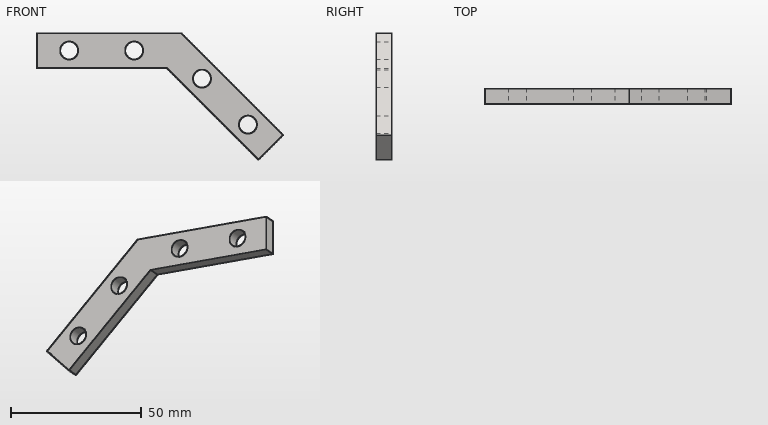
import cadquery as cq
import math

overall_length = 94.7
thickness = 6.0
arm_width = 13.5
bend_angle = 45.0
hole_diameter = 6.8
hole_end_distance = 12.4
hole_spacing = 25.0

bend = math.radians(bend_angle)
arm_length = overall_length / (1 + math.cos(bend))
inner_length = arm_length - arm_width * math.tan(bend / 2)


def tilted_point(along, depth):
    """XZ point on the tilted arm: distance from the outer corner, depth below the outer edge."""
    x = arm_length + along * math.cos(bend) - depth * math.sin(bend)
    z = -along * math.sin(bend) - depth * math.cos(bend)
    return x, z


outline = [
    (0, 0),
    (arm_length, 0),
    tilted_point(arm_length, 0),
    tilted_point(arm_length, arm_width),
    (inner_length, -arm_width),
    (0, -arm_width),
]
plate = cq.Workplane("XZ").polyline(outline).close().extrude(thickness)

hole_centers = []
for end_distance in (hole_end_distance, hole_end_distance + hole_spacing):
    hole_centers.append((end_distance, -arm_width / 2))
    hole_centers.append(tilted_point(arm_length - end_distance, arm_width / 2))

holes = cq.Workplane("XZ").pushPoints(hole_centers).circle(hole_diameter / 2).extrude(thickness)

result = plate.cut(holes)